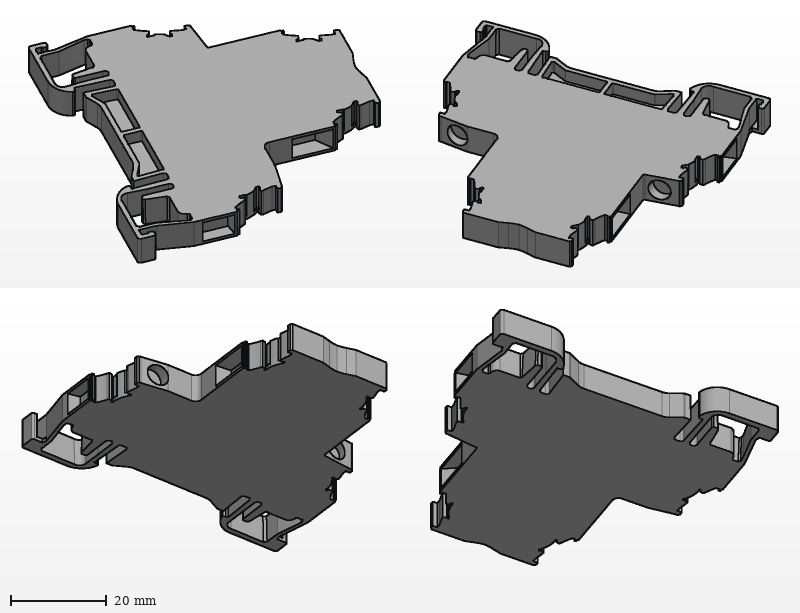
import cadquery as cq

LENGTH = 66.3
HEIGHT = 63.0
THICKNESS = 6.6
MARGIN = 0.65

LOWER_WALL = 31.95
LOWER_TOP = 34.2
SHOULDER_Y = 35.15
TOWER_X = -3.2
TOWER_HALF_WIDTH = 16.5
TOWER_LEFT = TOWER_X - TOWER_HALF_WIDTH
TOWER_RIGHT = TOWER_X + TOWER_HALF_WIDTH
SHOULDER_START = 27.3
RIGHT_SLOPE_END = 20.95
TOWER_LEFT_RADIUS = 0.4
TOWER_RIGHT_RADIUS = 1.45
DIP_HALF_WIDTH = 4.25
DIP_ARC_HALF_WIDTH = 2.2
DIP_ARC_START = 0.6
DIP_DEPTH = 1.0

SKIN = 0.9

ENTRY_FLOOR = 0.7
SCREW_DIAMETER = 4.9
SCREW_X = -23.2
SCREW_DEPTH = 2.65

FOOT_HALF_LENGTH = LENGTH / 2
POCKET_TOP = 12.9
SLIM_WALL_X = -30.3
HOOK_TOP = 4.0
WEB_TOP = 5.05
WEB_RAMP = 0.25
HOOK_TOP_RADIUS = 0.45
HOOK_BOTTOM_RADIUS = 0.65
FOOT_FLOOR = 1.2
DRAFT = 0.23

SADDLE_Y = 7.55
SADDLE_FOOT_Y = 5.7
SADDLE_BEND_X = -10.15
SADDLE_TOE_X = -13.65
SADDLE_SIDE_X = -15.2
SADDLE_BEND_RADIUS = 3.3
SADDLE_TOE_RADIUS = 0.4
POCKET_DEPTH = 2.85
POCKET_RADIUS = 0.25
RIB_HALF_WIDTH = 0.565


def corner(x, y):
    """Selector for the vertical edge at a point of the outline."""
    return cq.NearestToPointSelector((x, y, THICKNESS / 2))


def mirrored(half, x=0.0):
    """Join a half with its mirror image about the plane at the given X."""
    return half.union(half.mirror("YZ", (x, 0, 0))).clean()


def latch_cutter(wall_x, top_y):
    """Stepped latch edge cut into a left upper corner; u runs inward from the wall, v down from the top."""

    def at(u, v):
        return (wall_x + u, top_y - v)

    def polygon(points, bottom):
        plane = cq.Workplane("XY").workplane(offset=bottom)
        return plane.polyline([at(u, v) for u, v in points]).close().extrude(THICKNESS)

    edge = (
        cq.Workplane("XY")
        .moveTo(*at(-MARGIN, -MARGIN))
        .lineTo(*at(4.3, -MARGIN))
        .lineTo(*at(4.3, 0))
        .lineTo(*at(4.0, 0.4))
        .lineTo(*at(4.0, 1.2))
        .lineTo(*at(5.05, 1.2))
        .lineTo(*at(5.05, 2.1))
        .lineTo(*at(4.5, 4.25))
        .lineTo(*at(4.5, 4.65))
        .lineTo(*at(5.25, 4.9))
        .lineTo(*at(5.7, 4.7))
        .lineTo(*at(5.8, 5.05))
        .lineTo(*at(5.4, 5.6))
        .threePointArc(at(4.65, 6.95), at(4.25, 8.6))
        .lineTo(*at(4.25, 9.4))
        .lineTo(*at(3.9, 9.4))
        .lineTo(*at(3.85, 8.95))
        .lineTo(*at(3.0, 8.75))
        .lineTo(*at(2.7, 9.3))
        .threePointArc(at(2.1, 10.5), at(1.45, 11.55))
        .lineTo(*at(0.7, 11.55))
        .lineTo(*at(0.7, 11.1))
        .lineTo(*at(0.25, 11.1))
        .lineTo(*at(0.25, 11.55))
        .lineTo(*at(0, 11.7))
        .lineTo(*at(-MARGIN, 11.7))
        .close()
        .extrude(THICKNESS)
    )
    upper_slit = polygon([(5.25, 4.9), (5.6, 4.5), (6.1, 4.65), (6.1, 5.2), (5.65, 5.65), (5.05, 6.1)], SKIN)
    lower_slit = polygon([(4.3, 7.95), (4.6, 8.2), (4.6, 9.55), (4.25, 9.7), (3.9, 9.4)], SKIN)
    return edge.union(upper_slit).union(lower_slit)


def wire_entry(wall_x, depth, mouth, throat):
    """Funnel-shaped blind opening in a left wall; mouth and throat are (low Y, high Y, web)."""

    def frame(x, low_y, high_y, web):
        top = THICKNESS - web
        return cq.Wire.makePolygon(
            [cq.Vector(x, low_y, web), cq.Vector(x, high_y, web), cq.Vector(x, high_y, top), cq.Vector(x, low_y, top)],
            close=True,
        )

    return cq.Workplane(cq.Solid.makeLoft([frame(wall_x, *mouth), frame(wall_x + depth, *throat)], True))


def foot_opening():
    """Drafted through opening of the left foot, running around the tongue."""

    def outline(z, draft):
        return (
            cq.Workplane("XY")
            .workplane(offset=z)
            .moveTo(-30.4 - draft, POCKET_TOP)
            .lineTo(-29.2, POCKET_TOP)
            .lineTo(-28.9, 12.45)
            .threePointArc((-28.5, 11.4), (-27.6, 10.9))
            .lineTo(-22.7, 10.9)
            .lineTo(-22.4 + draft, 10.5)
            .lineTo(-21.8 + draft, 5.85)
            .lineTo(-21.5 + draft, 5.45)
            .lineTo(-20.55, 5.45)
            .lineTo(-20.2, 5.8)
            .lineTo(-20.2, 12.05)
            .threePointArc((-19.35, POCKET_TOP), (-18.55, 12.05))
            .lineTo(-18.55, 7.3)
            .lineTo(-18.55 + draft, 3.0)
            .threePointArc((-19.0 + draft, 1.9 - draft), (-20.35, 1.4 - draft))
            .lineTo(-28.85, 1.4 - draft)
            .lineTo(-29.4, 1.9 - draft)
            .lineTo(-29.4, 5.45)
            .lineTo(-30.75 - draft, 11.7)
            .lineTo(-30.75 - draft, 12.5)
            .close()
            .wire()
            .val()
        )

    return cq.Workplane(cq.Solid.makeLoft([outline(0, 0), outline(THICKNESS, DRAFT)], True))


def hook_slot():
    """Slot between the left foot wall and its hook, open upward and closed below by the skin."""
    points = [
        (SLIM_WALL_X, FOOT_FLOOR),
        (-31.7, FOOT_FLOOR),
        (-31.95, 1.45),
        (-31.95, 2.6),
        (-31.7, 2.85),
        (-31.7, 3.6),
        (-31.95, HOOK_TOP),
        (-31.95, WEB_TOP),
        (SLIM_WALL_X, WEB_TOP),
    ]
    return cq.Workplane("XY").workplane(offset=SKIN).polyline(points).close().extrude(THICKNESS)


def saddle_pocket():
    """Blind pocket above the left half of the rail saddle."""
    points = [
        (-13.8, POCKET_TOP),
        (-RIB_HALF_WIDTH, POCKET_TOP),
        (-RIB_HALF_WIDTH, 8.75),
        (-10.3, 8.75),
        (-13.5, 7.0),
        (-14.05, 7.0),
    ]
    floor = cq.Workplane("XY").workplane(offset=THICKNESS - POCKET_DEPTH)
    return floor.polyline(points).close().extrude(POCKET_DEPTH).edges("|Z").fillet(POCKET_RADIUS)


def lower_half():
    """Left half of the lower level with its foot and half of the rail saddle."""
    outer = -FOOT_HALF_LENGTH
    round_off = 1 - 0.5**0.5
    half = (
        cq.Workplane("XY")
        .moveTo(0, LOWER_TOP)
        .lineTo(-LOWER_WALL, LOWER_TOP)
        .lineTo(-LOWER_WALL, 12.85)
        .lineTo(SLIM_WALL_X, WEB_TOP)
        .lineTo(SLIM_WALL_X - WEB_RAMP, HOOK_TOP)
        .lineTo(outer + HOOK_TOP_RADIUS, HOOK_TOP)
        .threePointArc(
            (outer + round_off * HOOK_TOP_RADIUS, HOOK_TOP - round_off * HOOK_TOP_RADIUS),
            (outer, HOOK_TOP - HOOK_TOP_RADIUS),
        )
        .lineTo(outer, HOOK_BOTTOM_RADIUS)
        .threePointArc(
            (outer + round_off * HOOK_BOTTOM_RADIUS, round_off * HOOK_BOTTOM_RADIUS),
            (outer + HOOK_BOTTOM_RADIUS, 0),
        )
        .lineTo(-21.2, 0)
        .threePointArc((-17.9, 1.2), (-16.25, 3.7))
        .lineTo(-16.25, 4.2)
        .lineTo(-16.7, 4.45)
        .lineTo(-17.4, 4.45)
        .lineTo(-17.1, 12.3)
        .threePointArc((-16.9, 12.7), (-16.5, POCKET_TOP))
        .lineTo(-15.5, POCKET_TOP)
        .threePointArc((-15.1, 12.7), (-14.9, 12.3))
        .lineTo(SADDLE_SIDE_X, SADDLE_FOOT_Y)
        .lineTo(SADDLE_TOE_X, SADDLE_FOOT_Y)
        .lineTo(SADDLE_BEND_X, SADDLE_Y)
        .lineTo(0, SADDLE_Y)
        .close()
        .extrude(THICKNESS)
    )
    half = half.edges(corner(SADDLE_BEND_X, SADDLE_Y)).fillet(SADDLE_BEND_RADIUS)
    half = half.edges(corner(SADDLE_TOE_X, SADDLE_FOOT_Y)).fillet(SADDLE_TOE_RADIUS)
    half = half.cut(latch_cutter(-LOWER_WALL, LOWER_TOP))
    half = half.cut(wire_entry(-LOWER_WALL, 2.8, (14.85, 22.0, ENTRY_FLOOR), (15.45, 21.5, ENTRY_FLOOR)))
    return half.cut(foot_opening()).cut(hook_slot()).cut(saddle_pocket())


def tower():
    """Upper level, standing on the lower level and symmetric about its own centre line."""
    half = (
        cq.Workplane("XY")
        .moveTo(TOWER_X, LOWER_TOP)
        .lineTo(TOWER_LEFT, LOWER_TOP)
        .lineTo(TOWER_LEFT, HEIGHT)
        .lineTo(TOWER_X - DIP_HALF_WIDTH, HEIGHT)
        .lineTo(TOWER_X - DIP_ARC_HALF_WIDTH, HEIGHT - DIP_ARC_START)
        .tangentArcPoint((TOWER_X, HEIGHT - DIP_DEPTH), relative=False)
        .close()
        .extrude(THICKNESS)
    )
    half = half.cut(latch_cutter(TOWER_LEFT, HEIGHT))
    half = half.cut(wire_entry(TOWER_LEFT, 3.5, (41.8, 50.9, ENTRY_FLOOR), (42.4, 48.15, 1.0)))
    return mirrored(half, TOWER_X)


def shoulders():
    """Sloped strip joining the lower level to the tower."""
    points = [
        (-SHOULDER_START, LOWER_TOP),
        (TOWER_LEFT, SHOULDER_Y),
        (RIGHT_SLOPE_END, SHOULDER_Y),
        (SHOULDER_START, LOWER_TOP),
    ]
    return cq.Workplane("XY").polyline(points).close().extrude(THICKNESS)


def screw_hole(x):
    """Blind round hole sunk straight down through a shoulder."""
    top = cq.Workplane("XZ", origin=(x, SHOULDER_Y, THICKNESS / 2))
    return top.circle(SCREW_DIAMETER / 2).extrude(SCREW_DEPTH)


result = mirrored(lower_half()).union(shoulders()).union(tower()).clean()
result = result.edges(corner(TOWER_LEFT, SHOULDER_Y)).fillet(TOWER_LEFT_RADIUS)
result = result.edges(corner(TOWER_RIGHT, SHOULDER_Y)).fillet(TOWER_RIGHT_RADIUS)
for hole_x in (SCREW_X, -SCREW_X):
    result = result.cut(screw_hole(hole_x))